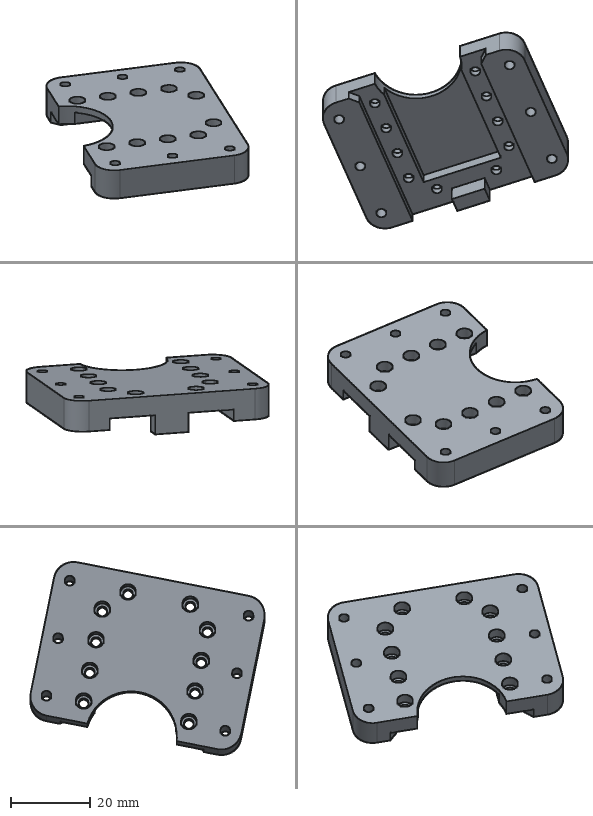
import cadquery as cq


plate_length = 54.0
plate_width = 40.0
corner_radius = 5.0
rail_height = 8.0
top_thickness = 5.0

channel_width = 32.85
lead_in = 2.05

tab_width = 8.8
tab_depth = 3.85
total_height = 10.0

cutout_radius = 11.5
cutout_center_offset = 1.0

hole_diameter = 2.5
rail_hole_x = 22.95
rail_hole_pitch = 15.0
hole_pitch = 8.0
counterbore_diameter = 4.0
counterbore_depth = 3.0
column_x = 13.5
column_first_y = -14.5
column_count = 4
back_row_y = rail_hole_pitch

recess_width = 20.8
recess_skin = 1.8

front_y = -plate_width / 2
back_y = plate_width / 2
cutout_center_y = front_y - cutout_center_offset


def make_plate():
    return (
        cq.Workplane("XY")
        .rect(plate_length, plate_width)
        .extrude(-rail_height)
        .edges("|Z")
        .fillet(corner_radius)
    )


def make_channel():
    """Straight channel, flared at 45 degrees where it meets the -Y side."""
    half_width = channel_width / 2
    half_mouth = half_width + lead_in
    return (
        cq.Workplane("XY", origin=(0, 0, -rail_height))
        .moveTo(-half_mouth, front_y)
        .lineTo(half_mouth, front_y)
        .lineTo(half_width, front_y + lead_in)
        .lineTo(half_width, back_y)
        .lineTo(-half_width, back_y)
        .lineTo(-half_width, front_y + lead_in)
        .close()
        .extrude(rail_height - top_thickness)
    )


def make_recess():
    """Blind recess that keeps the same distance to the back holes as to the side columns."""
    hole_clearance = column_x - recess_width / 2
    recess_length = back_row_y - hole_clearance - cutout_center_y
    return (
        cq.Workplane("XY", origin=(0, cutout_center_y + recess_length / 2, -top_thickness))
        .rect(recess_width, recess_length)
        .extrude(top_thickness - recess_skin)
    )


def make_cutout():
    return (
        cq.Workplane("XY")
        .center(0, cutout_center_y)
        .circle(cutout_radius)
        .extrude(-rail_height)
    )


def make_tab():
    """Stop tab, reaching from the underside of the plate down to the lowest point."""
    return (
        cq.Workplane("XY", origin=(0, back_y - tab_depth / 2, -top_thickness))
        .rect(tab_width, tab_depth)
        .extrude(top_thickness - total_height)
    )


rail_hole_points = []
for side in (-1, 1):
    for row in (-1, 0, 1):
        rail_hole_points.append((side * rail_hole_x, row * rail_hole_pitch))

counterbored_points = []
for side in (-1, 1):
    counterbored_points.append((side * hole_pitch, back_row_y))
    for row in range(column_count):
        counterbored_points.append((side * column_x, column_first_y + row * hole_pitch))


body = make_plate().cut(make_channel()).cut(make_recess()).cut(make_cutout()).union(make_tab())

result = (
    body.faces(">Z")
    .workplane(origin=(0, 0, 0))
    .pushPoints(rail_hole_points)
    .hole(hole_diameter)
    .faces(">Z")
    .workplane(origin=(0, 0, 0))
    .pushPoints(counterbored_points)
    .cboreHole(hole_diameter, counterbore_diameter, counterbore_depth)
)